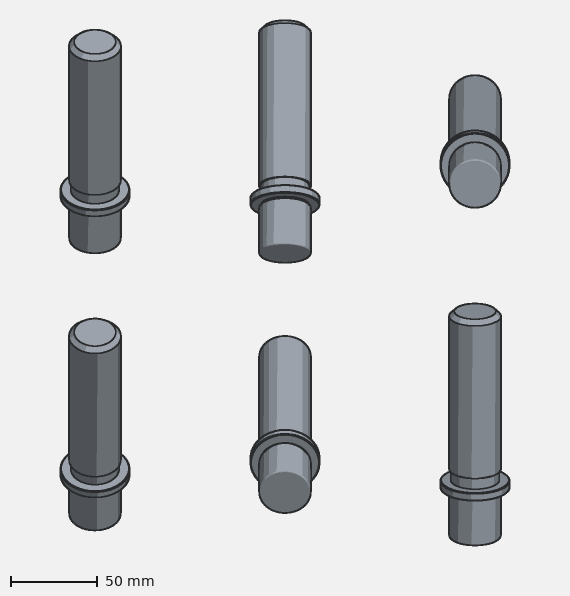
import cadquery as cq

total_height = 140.0
flange_bottom = 30.0
flange_thickness = 5.0
neck_height = 7.0

shank_radius = 15.0
neck_radius = 14.0
flange_radius = 20.0

tip_chamfer = 3.0
flange_chamfer = 0.5
base_fillet = 1.0

relief_radius = 14.0
relief_height = 0.5
relief_taper_height = 1.0

flange_top = flange_bottom + flange_thickness
neck_top = flange_top + neck_height
relief_bottom = flange_bottom - relief_height
taper_bottom = relief_bottom - relief_taper_height


def make_base():
    """Lower shank with a rounded end and a tapered relief under the flange."""
    return (
        cq.Workplane("XZ")
        .lineTo(shank_radius - base_fillet, 0)
        .radiusArc((shank_radius, base_fillet), -base_fillet)
        .lineTo(shank_radius, taper_bottom)
        .lineTo(relief_radius, relief_bottom)
        .lineTo(relief_radius, flange_bottom)
        .lineTo(0, flange_bottom)
        .close()
        .revolve(360, (0, 0, 0), (0, 1, 0))
    )


def make_flange():
    """Locating collar with both rim edges chamfered."""
    return (
        cq.Workplane("XY", origin=(0, 0, flange_bottom))
        .circle(flange_radius)
        .extrude(flange_thickness)
        .edges()
        .chamfer(flange_chamfer)
    )


def make_neck():
    """Reduced diameter between the flange and the upper shank."""
    return cq.Workplane("XY", origin=(0, 0, flange_top)).circle(neck_radius).extrude(neck_height)


def make_upper_shank():
    """Long upper cylinder with a chamfered tip."""
    return (
        cq.Workplane("XY", origin=(0, 0, neck_top))
        .circle(shank_radius)
        .extrude(total_height - neck_top)
        .faces(">Z")
        .chamfer(tip_chamfer)
    )


result = make_base().union(make_flange()).union(make_neck()).union(make_upper_shank())